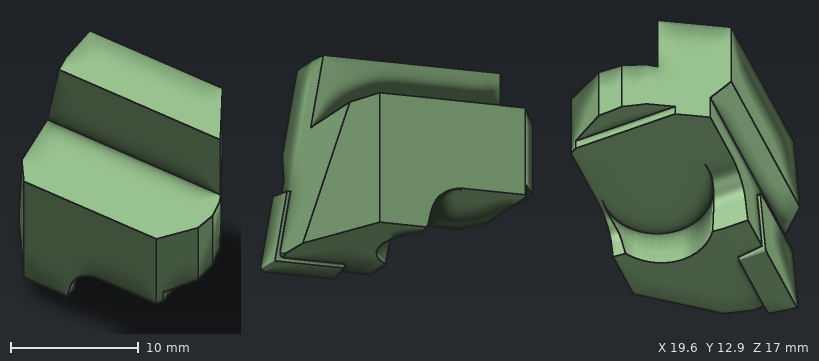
import math
import cadquery as cq

HEIGHT = 17.0
DEPTH = 12.87
WIDTH = 19.65
CUTTER_SIZE = 58.95

RIB_FRONT_Y = 7.85
SHOULDER_FRONT_Z = 12.1
SHOULDER_ANGLE = 8.0
BOTTOM_FRONT_Z = 1.6
BOTTOM_ANGLE = 6.0
RELIEF_Y = 11.44
RELIEF_LOW_Z = 7.57
RELIEF_HIGH_Z = 9.92

FRONT_LEFT_X = 5.46
FRONT_RIGHT_X = 17.68
CORNER_X = 1.28
CORNER_Y = 5.93
BACK_RIGHT_X = 15.75
NOSE_BACK = (19.12, 7.11)
NOSE_MIDDLE = (WIDTH, 5.2)
NOSE_FRONT = (19.55, 3.18)

FLANK_ANGLE = 10.0
FLANK_TOP_X = 3.52
FLANK_TAN = math.tan(math.radians(FLANK_ANGLE))

NECK_RADIUS = 2.8
NECK_ANGLE = 13.5
NECK_ARC_X = 12.48
UNDERSIDE_Z = 5.03
STEP_X = 18.0
STEP_Z = 6.0

RECESS_RADIUS = 4.45
RECESS_TIP_X = 7.39
RECESS_Y = 4.81

INSERT_SIZE = 6.35
INSERT_BACK_Y = 11.71
INSERT_FRONT_Y = 9.31
INSERT_DRAFT = 7.0
INSERT_RADIUS = 0.4
INSERT_CORNER_ANGLE = 90.0 - FLANK_ANGLE

SEAT_RADIUS = 0.4
SEAT_ROUND_LENGTH = 1.96

SEAT_BOTTOM_Z = BOTTOM_FRONT_Z - INSERT_FRONT_Y * math.tan(math.radians(BOTTOM_ANGLE))


def flank_x(z):
    """X of the rear flank plane at height z."""
    return FLANK_TOP_X - (HEIGHT - z) * FLANK_TAN


def stepped_block():
    shoulder_back_z = SHOULDER_FRONT_Z - RIB_FRONT_Y * math.tan(math.radians(SHOULDER_ANGLE))
    section = [
        (0, BOTTOM_FRONT_Z),
        (INSERT_FRONT_Y, SEAT_BOTTOM_Z),
        (RELIEF_Y, SEAT_BOTTOM_Z),
        (RELIEF_Y, RELIEF_LOW_Z),
        (DEPTH, RELIEF_HIGH_Z),
        (DEPTH, HEIGHT),
        (RIB_FRONT_Y, HEIGHT),
        (RIB_FRONT_Y, shoulder_back_z),
        (0, SHOULDER_FRONT_Z),
    ]
    return cq.Workplane("YZ").polyline(section).close().extrude(WIDTH)


def plan_prism():
    outline = [
        (FRONT_LEFT_X, 0),
        (FRONT_RIGHT_X, 0),
        NOSE_FRONT,
        NOSE_MIDDLE,
        NOSE_BACK,
        (BACK_RIGHT_X, DEPTH),
        (0, DEPTH),
        (0, CORNER_Y),
        (CORNER_X, CORNER_Y),
    ]
    return cq.Workplane("XY").polyline(outline).close().extrude(HEIGHT)


def flank_cutter(normal):
    """Everything outside a flank plane through the top of the flank edge."""
    along_flank = (FLANK_TAN, 0, 1)
    plane = cq.Plane(origin=(FLANK_TOP_X, INSERT_FRONT_Y, HEIGHT), xDir=along_flank, normal=normal)
    return cq.Workplane(plane).rect(CUTTER_SIZE, CUTTER_SIZE).extrude(CUTTER_SIZE)


def neck_cutter():
    angle = math.radians(NECK_ANGLE)
    center_z = UNDERSIDE_Z - NECK_RADIUS
    middle = math.radians((90 + 180 - NECK_ANGLE) / 2)
    arc_end = (NECK_ARC_X - NECK_RADIUS * math.cos(angle), center_z + NECK_RADIUS * math.sin(angle))
    arc_middle = (NECK_ARC_X + NECK_RADIUS * math.cos(middle), center_z + NECK_RADIUS * math.sin(middle))
    return (
        cq.Workplane("XZ")
        .moveTo(arc_end[0] - arc_end[1] * math.tan(angle), 0)
        .lineTo(*arc_end)
        .threePointArc(arc_middle, (NECK_ARC_X, UNDERSIDE_Z))
        .lineTo(STEP_X, UNDERSIDE_Z)
        .lineTo(STEP_X, STEP_Z)
        .lineTo(WIDTH, STEP_Z)
        .lineTo(WIDTH, 0)
        .close()
        .extrude(-DEPTH)
    )


def neck_recess():
    return (
        cq.Workplane("XY")
        .center(RECESS_TIP_X + RECESS_RADIUS, RECESS_Y)
        .circle(RECESS_RADIUS)
        .extrude(UNDERSIDE_Z)
    )


def seat_corner_cutter():
    """Sliver outside a round whose axis is along Y; it fades out as the flank recedes."""
    vertex_x = flank_x(SEAT_BOTTOM_Z)
    angle = math.radians(INSERT_CORNER_ANGLE)
    tangent = SEAT_RADIUS / math.tan(angle / 2)
    nearest = SEAT_RADIUS / math.sin(angle / 2) - SEAT_RADIUS

    def from_vertex(distance, direction):
        return vertex_x + distance * math.cos(direction), SEAT_BOTTOM_Z + distance * math.sin(direction)

    return (
        cq.Workplane("XZ", origin=(0, INSERT_FRONT_Y, 0))
        .moveTo(vertex_x, SEAT_BOTTOM_Z)
        .lineTo(*from_vertex(tangent, 0))
        .threePointArc(from_vertex(nearest, angle / 2), from_vertex(tangent, angle))
        .close()
        .extrude(SEAT_ROUND_LENGTH)
    )


def make_insert():
    angle = math.radians(INSERT_CORNER_ANGLE)
    left_x = INSERT_RADIUS - INSERT_RADIUS / math.tan(angle / 2)
    side = INSERT_SIZE / math.sin(angle)
    lean = INSERT_SIZE * FLANK_TAN
    outline = (
        cq.Sketch()
        .polygon([
            (left_x, 0),
            (left_x + side, 0),
            (left_x + side + lean, INSERT_SIZE),
            (left_x + lean, INSERT_SIZE),
            (left_x, 0),
        ])
        .vertices()
        .fillet(INSERT_RADIUS)
    )
    return (
        cq.Workplane("XZ", origin=(0, INSERT_BACK_Y, 0))
        .placeSketch(outline)
        .extrude(INSERT_BACK_Y - INSERT_FRONT_Y, taper=INSERT_DRAFT)
    )


def make_holder(insert):
    rear_flank = (-1, 0, FLANK_TAN)
    front_flank = (-1, -FLANK_TAN, FLANK_TAN)
    return (
        stepped_block()
        .intersect(plan_prism())
        .cut(flank_cutter(rear_flank))
        .cut(flank_cutter(front_flank))
        .cut(neck_cutter())
        .cut(neck_recess())
        .cut(seat_corner_cutter())
        .cut(insert)
    )


insert = make_insert()
holder = make_holder(insert)
result = cq.Compound.makeCompound([holder.solids().val(), insert.val()])